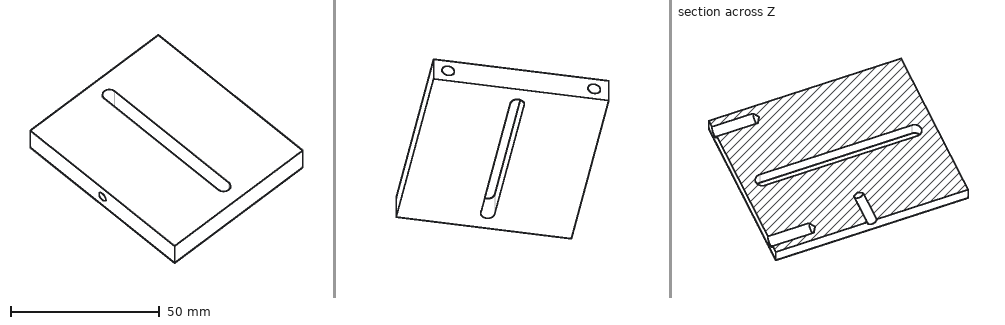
import cadquery as cq
import math

length = 70.0
width = 60.0
thickness = 9.0

slot_length = width
slot_width = 4.7

front_hole_diameter = 3.3
front_hole_depth = 12.0
end_hole_diameter = 4.2
end_hole_depth = 15.0
end_hole_spacing = 50.0
drill_point_angle = 118.0


def drilled_hole(diameter, depth, mouth, direction):
    """Cylinder of the given depth ending in a conical drill point."""
    radius = diameter / 2
    point_length = radius / math.tan(math.radians(drill_point_angle / 2))
    profile = (
        cq.Workplane("XZ")
        .polyline([(0, 0), (radius, 0), (radius, depth), (0, depth + point_length)])
        .close()
    )
    drill = profile.revolve(360, (0, 0), (0, 1)).val()
    placement = cq.Plane(origin=mouth, normal=direction)
    return drill.moved(cq.Location(placement))


plate = cq.Workplane("XY").box(length, width, thickness)

slot = cq.Workplane("XY").slot2D(slot_length, slot_width).extrude(thickness / 2, both=True)
result = plate.cut(slot)

front_mouth = (0, -width / 2, 0)
result = result.cut(drilled_hole(front_hole_diameter, front_hole_depth, front_mouth, (0, 1, 0)))

for side in (-1, 1):
    end_mouth = (-length / 2, side * end_hole_spacing / 2, 0)
    result = result.cut(drilled_hole(end_hole_diameter, end_hole_depth, end_mouth, (1, 0, 0)))